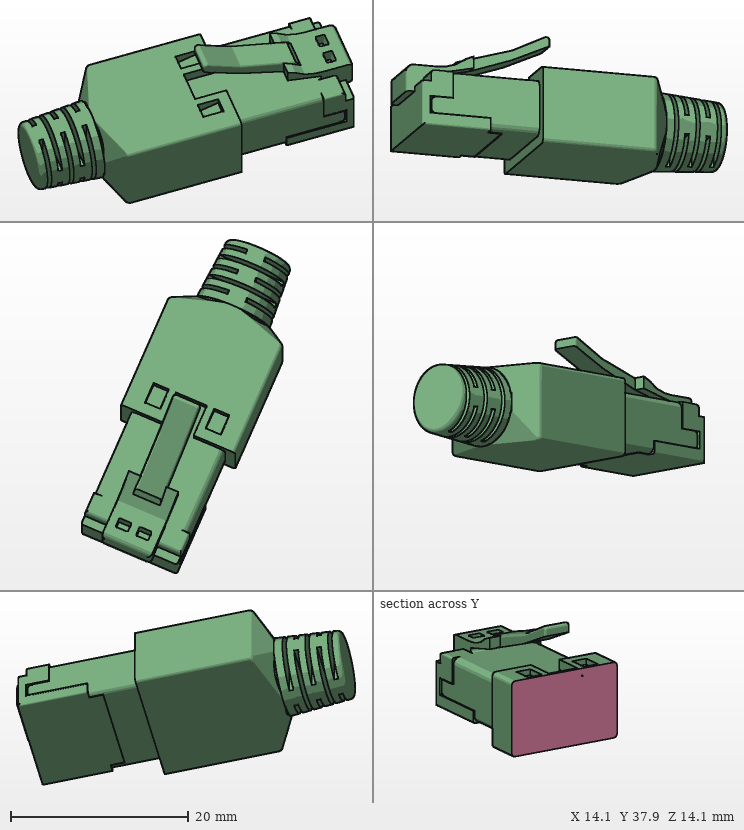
import cadquery as cq


shell_width = 14.1
shell_height = 9.0
shell_straight = 13.5
shell_length = 15.5
shell_fillet = 0.5
taper_fillet = 0.2
bend_fillet = 0.6
taper_margin = 0.3
taper_end_half_width = 4.5
taper_side_half_height = 1.0
taper_top_half_width = 0.7
notch_width = 3.8
notch_length = 3.75
window_inner_x = 2.8
window_outer_x = 4.65
window_front = 1.3
window_rear = notch_length
tab_height = 0.55
tab_land = 0.25

boot_length = 23.0
neck_radius = 4.3
boot_front_radius = 4.5
boot_rear_radius = 3.92
boot_fillet = 0.5
boot_slot_count = 5
boot_slot_first = 16.5
boot_slot_pitch = 1.3
boot_slot_width = 0.47
boot_web = 2.2

plug_half_height = 3.25
body_width = 11.52
body_fillet = 0.8
body_front = 10.4
body_overlap = 4.5
head_width = 11.8
head_front = 13.93
head_rear = 10.27
head_bottom = -3.33
head_shelf_y = 12.9
head_shelf_z = 1.9
head_edge_fillet = 0.25
head_front_fillet = 0.3
head_step_fillet = 0.5
rail_rear = 5.82
rail_top = -1.83
recess_top = 0.14
recess_front = 13.0
insert_front = 12.8
insert_fillet = 0.5
core_width = 11.0
pad_width = body_width - 2 * body_fillet
pad_rear = 4.2

latch_width = 6.08
latch_top = shell_height / 2
block_front = 14.85
block_rear = 12.0
block_bottom = 1.35
block_top_fillet = 0.8
block_side_fillet = 0.5
hinge_top_y = 11.28
hinge_bend_z = 4.58
gap_front = 10.97
gap_top = 3.85
ear_front = 7.86
ear_front_z = 5.68
ear_rear = 6.95
ear_rear_bottom = 4.68
ear_rear_top = 6.06
lever_front = 9.0
lever_front_z = 4.95
lever_width = 3.3
lever_ramp_y = 8.43
lever_ramp_z = 5.7
lever_bend_y = 1.83
lever_bend_z = 7.67
lever_fillet = 0.3
lever_tip_fillet = 0.4
lever_rear = -2.62
lever_rear_top = 9.845
lever_rear_bottom = 8.52
lever_bottom_bend_y = 1.89
lever_bottom_bend_z = 6.46
lever_front_bottom = 4.22
slot_width = 1.5
slot_center_x = 1.25
slot_front = 13.15
slot_rear = 12.05
slot_end_slope = 0.17
slot_depth = 1.5
slot_corner = 0.15


def block(x_range, y_range, z_range):
    """Axis-aligned box between the given limits."""
    size = [high - low for low, high in (x_range, y_range, z_range)]
    low_corner = (x_range[0], y_range[0], z_range[0])
    return cq.Workplane("XY").box(*size, centered=False).translate(low_corner)


def centered(width):
    """Limits of a width centred on zero."""
    return (-width / 2, width / 2)


def side_extrusion(profile, width):
    """Extrude a closed YZ profile symmetrically about X = 0."""
    return profile.close().extrude(width / 2, both=True)


def shell_slice(rear, front):
    """Selector for what is centred between two distances behind the shell front."""
    return cq.selectors.BoxSelector(
        (-shell_width, -rear, -shell_height), (shell_width, -front, shell_height)
    )


def shell_blank():
    """Rectangular shell narrowing to the boot, its four rear corners cut by planes."""
    half_width = shell_width / 2
    half_height = shell_height / 2
    outline = [
        (-half_width, 0),
        (half_width, 0),
        (half_width, -shell_straight),
        (taper_end_half_width, -shell_length),
        (-taper_end_half_width, -shell_length),
        (-half_width, -shell_straight),
    ]
    shell = cq.Workplane("XY").polyline(outline).close().extrude(half_height, both=True)
    cutter_size = 4 * shell_width
    for x_sign in (-1, 1):
        for z_sign in (-1, 1):
            corner = cq.Vector(x_sign * half_width, -shell_straight, z_sign * half_height)
            side_end = cq.Vector(
                x_sign * taper_end_half_width, -shell_length, z_sign * taper_side_half_height
            )
            top_end = cq.Vector(x_sign * taper_top_half_width, -shell_length, z_sign * half_height)
            normal = (side_end - corner).cross(top_end - corner)
            if normal.y > 0:
                normal = -normal
            plane = cq.Plane(origin=corner, xDir=side_end - corner, normal=normal)
            cutter = cq.Workplane(plane).rect(cutter_size, cutter_size).extrude(cutter_size)
            shell = shell.cut(cutter)
    bend_zone = shell_slice(shell_straight + taper_margin, shell_straight - taper_margin)
    shell = shell.edges(bend_zone).edges("|Z").fillet(bend_fillet)
    shell = shell.edges("|Y").fillet(shell_fillet)
    diagonal_zone = shell_slice(shell_length - taper_margin, shell_straight - taper_margin)
    return shell.edges(diagonal_zone).edges("not |Z").fillet(taper_fillet)


def neck():
    """Round neck filling out the taper where its corner planes come closest to the axis."""
    return (
        cq.Workplane("XZ", origin=(0, -shell_straight, 0))
        .circle(neck_radius)
        .extrude(shell_length - shell_straight)
    )


def boot():
    """Conical boot with alternating pairs of flex slots."""
    front = -shell_length
    cone = (
        cq.Workplane("YZ")
        .moveTo(front, 0)
        .lineTo(front, boot_front_radius)
        .lineTo(-boot_length, boot_rear_radius)
        .lineTo(-boot_length, 0)
        .close()
        .revolve(360, (0, 0, 0), (1, 0, 0))
        .faces("<Y").edges().fillet(boot_fillet)
    )
    reach = 2 * boot_front_radius
    for index in range(boot_slot_count):
        front = -boot_slot_first - index * boot_slot_pitch
        y_range = (front - boot_slot_width, front)
        for sign in (-1, 1):
            away = sorted((sign * boot_web / 2, sign * reach))
            if index % 2 == 0:
                slot = block(away, y_range, (-reach, reach))
            else:
                slot = block((-reach, reach), y_range, away)
            cone = cone.cut(slot)
    return cone


def shell_openings():
    """Latch notch and two windows whose sloped floors are the plug's locking tabs."""
    top = shell_height / 2
    openings = block(centered(notch_width), (-notch_length, 0), (plug_half_height, top))
    tab_top = plug_half_height + tab_height
    window = (
        cq.Workplane("YZ")
        .moveTo(-window_front, top)
        .lineTo(-window_front, tab_top)
        .lineTo(-window_front - tab_land, tab_top)
        .lineTo(-window_rear, plug_half_height)
        .lineTo(-window_rear, top)
        .close()
        .extrude(window_outer_x - window_inner_x)
    )
    openings = openings.union(window.translate((window_inner_x, 0, 0)))
    return openings.union(window.translate((-window_outer_x, 0, 0)))


def plug_body():
    """Narrow body with rounded long edges, reaching into the shell."""
    body = block(
        centered(body_width), (-body_overlap, body_front), (-plug_half_height, plug_half_height)
    )
    return body.edges("|Y").fillet(body_fillet)


def plug_head():
    """Stepped head with low side rails and a recess holding the round-nosed insert."""
    profile = (
        cq.Workplane("YZ")
        .moveTo(head_front, head_bottom)
        .lineTo(head_front, head_shelf_z)
        .lineTo(head_shelf_y, head_shelf_z)
        .lineTo(head_shelf_y, plug_half_height)
        .lineTo(head_rear, plug_half_height)
        .lineTo(head_rear, recess_top)
        .lineTo(recess_front, recess_top)
        .lineTo(recess_front, rail_top)
        .lineTo(rail_rear, rail_top)
        .lineTo(rail_rear, head_bottom)
    )
    head = side_extrusion(profile, head_width)
    head = head.faces(">Z").edges(">Y").fillet(head_step_fillet)
    envelope = block(
        centered(head_width), (rail_rear, head_front), (head_bottom, plug_half_height)
    )
    head = head.intersect(envelope.edges("|Y").fillet(head_edge_fillet))
    head = head.intersect(envelope.faces(">Y").edges("|Z").fillet(head_front_fillet))
    recess_height = (rail_top, recess_top)
    insert = block(centered(body_width), (rail_rear, insert_front), recess_height)
    insert = insert.faces(">Y").edges("|X").fillet(insert_fillet)
    core = block(centered(core_width), (rail_rear, recess_front), recess_height)
    pad = block(centered(pad_width), (pad_rear, head_rear), (head_bottom, rail_top))
    return head.union(insert).union(core).union(pad)


def latch_block():
    """Front block of the latch, rounded at the front in plan and in profile."""
    blank = block(centered(latch_width), (block_rear, block_front), (block_bottom, latch_top))
    rounded_plan = blank.faces(">Y").edges("|Z").fillet(block_side_fillet)
    rounded_profile = blank.faces(">Y").edges(">Z").fillet(block_top_fillet)
    return rounded_plan.intersect(rounded_profile)


def latch_slots():
    """Two tapered slots in the top of the latch block."""
    floor = latch_top - slot_depth
    slot = (
        cq.Workplane("YZ")
        .moveTo(slot_rear, latch_top)
        .lineTo(slot_front, latch_top)
        .lineTo(slot_front - slot_end_slope, floor)
        .lineTo(slot_rear + slot_end_slope, floor)
    )
    slot = side_extrusion(slot, slot_width)
    slot = slot.faces(">X or <X").edges("not |Y").fillet(slot_corner)
    return slot.translate((slot_center_x, 0, 0)).union(slot.translate((-slot_center_x, 0, 0)))


def latch_hinge():
    """Full-width hinge, rising from the block and ending in two ears."""
    gap_radius = (gap_top - plug_half_height) / 2
    gap_center_z = plug_half_height + gap_radius
    profile = (
        cq.Workplane("YZ")
        .moveTo(block_rear, plug_half_height)
        .lineTo(block_rear, latch_top)
        .lineTo(hinge_top_y, latch_top)
        .lineTo(head_rear, hinge_bend_z)
        .lineTo(lever_front, lever_front_z)
        .lineTo(ear_front, ear_front_z)
        .lineTo(ear_rear, ear_rear_top)
        .lineTo(ear_rear, ear_rear_bottom)
        .lineTo(gap_front - gap_radius, gap_top)
        .threePointArc((gap_front, gap_center_z), (gap_front - gap_radius, plug_half_height))
    )
    return side_extrusion(profile, latch_width)


def latch_lever():
    """Narrow release lever with rounded upper edges and tip."""
    profile = (
        cq.Workplane("YZ")
        .moveTo(lever_front, lever_front_z)
        .lineTo(lever_ramp_y, lever_ramp_z)
        .lineTo(lever_bend_y, lever_bend_z)
        .lineTo(lever_rear, lever_rear_top)
        .lineTo(lever_rear, lever_rear_bottom)
        .lineTo(lever_bottom_bend_y, lever_bottom_bend_z)
        .lineTo(ear_rear, ear_rear_bottom)
        .lineTo(lever_front, lever_front_bottom)
    )
    lever = side_extrusion(profile, lever_width)
    lever = lever.faces("<Y").edges(">Z").fillet(lever_tip_fillet)
    upper_sides = cq.selectors.BoxSelector(
        (-lever_width, lever_bend_y, lever_bend_z), (lever_width, lever_ramp_y, lever_ramp_z)
    )
    ramp_edges = lever.edges(upper_sides).edges("not |X")
    return lever.faces("<Y").edges("|Z").add(ramp_edges).fillet(lever_fillet)


result = (
    shell_blank()
    .union(neck())
    .union(boot())
    .union(plug_body())
    .cut(shell_openings())
    .union(plug_head())
    .union(latch_block())
    .union(latch_hinge())
    .union(latch_lever())
    .cut(latch_slots())
)